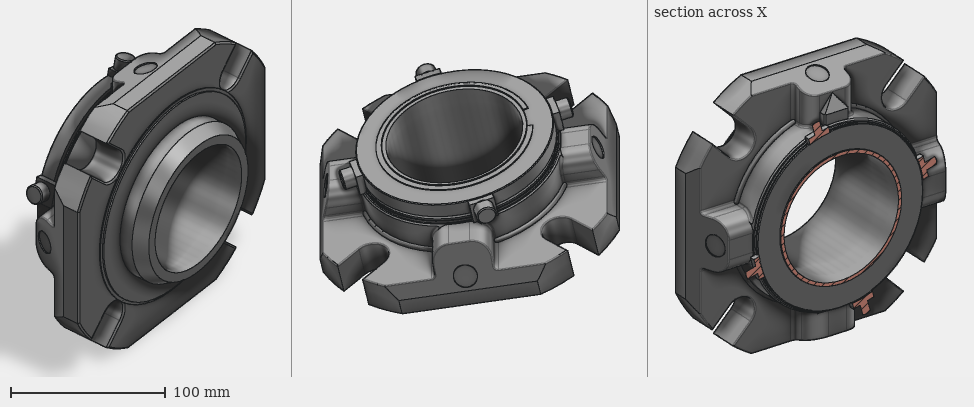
import cadquery as cq
import math


total_length = 83.4
bore_diameter = 90.0
mouth_diameter = 95.3
mouth_depth = 0.8
sleeve_diameter = 95.9
snap_ring_diameter = 103.3
snap_ring_front = 0.8
snap_ring_gap_start = 160.0
snap_ring_gap_end = 180.0
collar_diameter = 130.1
collar_front = 1.5
collar_back = 12.0
collar_chamfer = 0.5

plate_size = 194.8
plate_front = 38.5
plate_back = 62.0
plate_corner_diameter = 215.0
plate_back_chamfer = 1.2
slope_end = 49.3
slope_angle = 20.0

slot_width = 23.0
slot_center_radius = 87.3

hub_diameter = 135.5
hub_front = 17.0
hub_root_fillet = 2.3
hub_front_chamfer = 1.0
cover_diameter = 131.7
cover_front_diameter = 130.1
cover_middle = 15.4
cover_front = 14.0

gasket_diameter = 152.0
gasket_step_diameter = 147.5
gasket_step = 0.8
spigot_start = 63.9
spigot_diameter = 114.0
spigot_chamfer_start = 73.8
spigot_end_diameter = 103.3

lug_half_width = 19.5
lug_front = 17.3
lug_inner_height = 55.5
lug_corner_radius = 12.5
lug_root_radius = 2.5
lug_hub_fillet = 2.0
rim_fillet = 0.8
short_lug_front = 23.2
short_lug_corner_radius = 9.4
port_diameter = 15.5
port_depth = 1.0
side_port_center = 27.5
upright_port_center = 39.7

clip_count = 4
clip_start_angle = 75.0
clip_width = 16.8
clip_outer_radius = 69.4
clip_back = 17.0
screw_diameter = 13.0
screw_center = 7.5
screw_top_radius = 78.0
screw_chamfer = 0.8

badge_front = 18.0
badge_half_width = 9.5
badge_bottom = 66.6
badge_shoulder = 75.2
badge_top = 86.9
badge_chamfer = 1.0

tolerance = 0.002

half_size = plate_size / 2
slope = math.tan(math.radians(slope_angle))


def disc(diameter, start, end):
    """Solid cylinder on the X axis between two X positions."""
    return cq.Workplane("YZ").workplane(offset=start).circle(diameter / 2).extrude(end - start)


def around_axis(solid, angle):
    """Copy turned about the X axis."""
    return solid.rotate((0, 0, 0), (1, 0, 0), angle)


def side_height(x):
    """Distance from the axis to the sloped side faces at position x."""
    return half_size - (slope_end - x) * slope


def side_envelope():
    """Extrusion along Y that trims the upper and lower sides to their slopes."""
    front_height = side_height(0)
    return (
        cq.Workplane("XZ")
        .moveTo(0, -front_height)
        .lineTo(slope_end, -half_size)
        .lineTo(plate_back, -half_size)
        .lineTo(plate_back, half_size)
        .lineTo(slope_end, half_size)
        .lineTo(0, front_height)
        .close()
        .extrude(half_size, both=True)
    )


def make_plate():
    plate = disc(plate_corner_diameter, plate_front, plate_back)
    slot = (
        cq.Workplane("YZ")
        .workplane(offset=plate_front)
        .center(slot_center_radius, 0)
        .circle(slot_width / 2)
        .extrude(plate_back - plate_front)
    )
    mouth = cq.Workplane("XY").box(
        plate_back - plate_front, half_size, slot_width, centered=(False, False, True)
    )
    slot = slot.union(mouth.translate((plate_front, slot_center_radius, 0)))
    for index in range(4):
        plate = plate.cut(around_axis(slot, 45 + 90 * index))
    envelope = side_envelope()
    plate = plate.intersect(envelope).intersect(around_axis(envelope, 90))
    return plate.faces(">X").chamfer(plate_back_chamfer)


def make_lug(front, corner_radius):
    """Lug on the +Z side, rounded at the front and flared into the plate face."""
    flat_half = lug_half_width - corner_radius
    flare_half = lug_half_width + lug_root_radius
    flare_start = plate_front - lug_root_radius
    corner_end = front + corner_radius
    outline = (
        cq.Workplane("XY")
        .workplane(offset=lug_inner_height)
        .moveTo(slope_end, -flare_half)
        .lineTo(plate_front, -flare_half)
        .radiusArc((flare_start, -lug_half_width), -lug_root_radius)
        .lineTo(corner_end, -lug_half_width)
        .radiusArc((front, -flat_half), corner_radius)
        .lineTo(front, flat_half)
        .radiusArc((corner_end, lug_half_width), corner_radius)
        .lineTo(flare_start, lug_half_width)
        .radiusArc((plate_front, flare_half), -lug_root_radius)
        .lineTo(slope_end, flare_half)
        .close()
    )
    return outline.extrude(half_size - lug_inner_height).intersect(side_envelope())


def make_port(center):
    """Shallow round recess square to the sloped face on the +Z side."""
    normal = (-math.sin(math.radians(slope_angle)), 0, math.cos(math.radians(slope_angle)))
    face = cq.Plane(origin=(center, 0, side_height(center)), xDir=(0, 1, 0), normal=normal)
    return cq.Workplane(face).circle(port_diameter / 2).extrude(port_depth, both=True)


def make_hub():
    radius = hub_diameter / 2
    profile = (
        cq.Workplane("XY")
        .moveTo(cover_front, 0)
        .lineTo(cover_front, cover_front_diameter / 2)
        .lineTo(cover_middle, cover_front_diameter / 2)
        .lineTo(cover_middle, cover_diameter / 2)
        .lineTo(hub_front, cover_diameter / 2)
        .lineTo(hub_front, radius - hub_front_chamfer)
        .lineTo(hub_front + hub_front_chamfer, radius)
        .lineTo(plate_front - hub_root_fillet, radius)
        .radiusArc((plate_front, radius + hub_root_fillet), hub_root_fillet)
        .lineTo(plate_back, radius + hub_root_fillet)
        .lineTo(plate_back, 0)
        .close()
    )
    return profile.revolve(360, (0, 0, 0), (1, 0, 0))


def is_rim_edge(edge):
    """True for the edges bounding the front of the plate and the sloped faces of the lugs."""
    middle = edge.positionAt(0.5)
    box = edge.BoundingBox()
    reach = max(abs(middle.y), abs(middle.z))
    on_slope = abs(reach - side_height(middle.x)) < tolerance
    on_lug = on_slope and box.xmax < plate_front + tolerance
    on_plate_front = abs(box.xmin - plate_front) < tolerance and abs(box.xmax - plate_front) < tolerance
    outside = math.hypot(middle.y, middle.z) > slot_center_radius - slot_width / 2 - tolerance
    return on_lug or (on_plate_front and outside)


def is_lug_foot_edge(edge):
    """True for the edges where the lug flanks meet the round of the hub."""
    points = [edge.positionAt(share) for share in (0, 0.5, 1)]
    on_hub = all(abs(math.hypot(p.y, p.z) - hub_diameter / 2) < tolerance for p in points)
    beside_lug = all(min(abs(p.y), abs(p.z)) < lug_half_width + tolerance for p in points)
    runs_rearward = abs(points[2].x - points[0].x) > tolerance
    return on_hub and beside_lug and runs_rearward


def make_gland():
    gland = make_plate()
    for index in range(4):
        if index == 0:
            lug = make_lug(short_lug_front, short_lug_corner_radius)
        else:
            lug = make_lug(lug_front, lug_corner_radius)
        gland = gland.union(around_axis(lug, 90 * index))
    gland = gland.edges().filter(is_rim_edge).fillet(rim_fillet)
    gland = gland.union(make_hub())
    gland = gland.edges().filter(is_lug_foot_edge).fillet(lug_hub_fillet)
    for index in range(4):
        center = upright_port_center if index % 2 == 0 else side_port_center
        gland = gland.cut(around_axis(make_port(center), 90 * index))
    return gland


def make_gasket():
    middle = plate_back + gasket_step
    return disc(gasket_diameter, plate_back, middle).union(disc(gasket_step_diameter, middle, spigot_start))


def make_spigot():
    profile = (
        cq.Workplane("XY")
        .moveTo(spigot_start, 0)
        .lineTo(spigot_start, spigot_diameter / 2)
        .lineTo(spigot_chamfer_start, spigot_diameter / 2)
        .lineTo(total_length, spigot_end_diameter / 2)
        .lineTo(total_length, 0)
        .close()
    )
    return profile.revolve(360, (0, 0, 0), (1, 0, 0))


def make_collar():
    return disc(collar_diameter, collar_front, collar_back).faces("<X").chamfer(collar_chamfer)


def make_snap_ring():
    """Thin open ring on the collar face."""
    reach = snap_ring_diameter
    start = math.radians(snap_ring_gap_start)
    end = math.radians(snap_ring_gap_end)
    gap = (
        cq.Workplane("YZ")
        .moveTo(0, 0)
        .lineTo(reach * math.cos(start), reach * math.sin(start))
        .lineTo(reach * math.cos(end), reach * math.sin(end))
        .close()
        .extrude(collar_front)
    )
    return disc(snap_ring_diameter, snap_ring_front, collar_front).cut(gap)


def make_clip():
    """Setting clip with its cap screw, on the +Y side."""
    clip = cq.Workplane("XY").box(
        clip_back - collar_front,
        clip_outer_radius,
        clip_width,
        centered=(False, False, True),
    )
    clip = clip.translate((collar_front, 0, 0)).cut(disc(collar_diameter, 0, clip_back))
    screw = (
        cq.Workplane("XZ", origin=(screw_center, clip_outer_radius, 0))
        .circle(screw_diameter / 2)
        .extrude(clip_outer_radius - screw_top_radius)
        .faces(">Y")
        .chamfer(screw_chamfer)
    )
    return clip.union(screw)


def make_badge():
    """House outline whose front leans back from the shoulder to the top."""
    outline = (
        cq.Workplane("YZ")
        .workplane(offset=badge_front)
        .moveTo(-badge_half_width, badge_bottom)
        .lineTo(badge_half_width, badge_bottom)
        .lineTo(badge_half_width, badge_shoulder)
        .lineTo(0, badge_top)
        .lineTo(-badge_half_width, badge_shoulder)
        .close()
        .extrude(short_lug_front - badge_front)
    )
    lean = (
        cq.Workplane("XZ")
        .moveTo(badge_front, badge_shoulder)
        .lineTo(short_lug_front, badge_top)
        .lineTo(badge_front, badge_top)
        .close()
        .extrude(badge_half_width, both=True)
    )
    badge = outline.cut(lean)
    return badge.faces("<X").edges("<Z or |Z").chamfer(badge_chamfer)


seal = (
    disc(sleeve_diameter, 0, total_length)
    .union(make_collar())
    .union(make_snap_ring())
    .union(make_gland())
    .union(make_gasket())
    .union(make_spigot())
    .union(make_badge())
)
for number in range(clip_count):
    seal = seal.union(around_axis(make_clip(), clip_start_angle + 90 * number))

seal = seal.cut(disc(bore_diameter, 0, total_length))
result = seal.cut(disc(mouth_diameter, 0, mouth_depth))